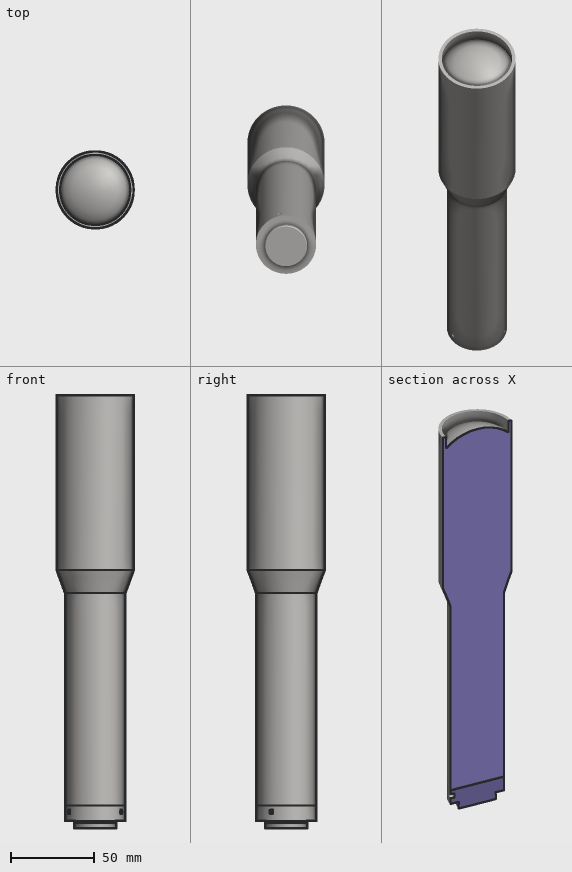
import cadquery as cq
import math

TOTAL_LENGTH = 259.0
COLLAR_BOTTOM = 4.7
SEAM_HEIGHT = 14.0
TAPER_BOTTOM = 140.5
TAPER_TOP = 154.3

HEAD_DIAMETER = 46.0
BODY_DIAMETER = 36.0
LENS_DIAMETER = 42.0
LENS_SAG = 7.8

STUB_DIAMETER = 25.5
RELIEF_DIAMETER = 24.5
RELIEF_HEIGHT = 1.3
STUB_CHAMFER = 0.5

SCREW_DIAMETER = 2.5
SCREW_DEPTH = 2.5
SCREW_HEIGHT = 10.0
SCREW_COUNT = 3
FIRST_SCREW_ANGLE = 90.0


def make_barrel():
    """Stepped barrel with a domed front lens set inside its rim."""
    head_radius = HEAD_DIAMETER / 2
    body_radius = BODY_DIAMETER / 2
    lens_radius = LENS_DIAMETER / 2
    lens_edge = TOTAL_LENGTH - LENS_SAG
    sphere_radius = (lens_radius**2 + LENS_SAG**2) / (2 * LENS_SAG)
    half_angle = math.asin(lens_radius / sphere_radius) / 2
    dome_middle = (
        sphere_radius * math.sin(half_angle),
        TOTAL_LENGTH - sphere_radius * (1 - math.cos(half_angle)),
    )
    return (
        cq.Workplane("XZ")
        .moveTo(0, SEAM_HEIGHT)
        .lineTo(body_radius, SEAM_HEIGHT)
        .lineTo(body_radius, TAPER_BOTTOM)
        .lineTo(head_radius, TAPER_TOP)
        .lineTo(head_radius, TOTAL_LENGTH)
        .lineTo(lens_radius, TOTAL_LENGTH)
        .lineTo(lens_radius, lens_edge)
        .threePointArc(dome_middle, (0, TOTAL_LENGTH))
        .close()
        .revolve(360, (0, 0), (0, 1))
    )


def make_screw_hole(angle):
    """Cutter for one radial blind hole, starting at the collar surface."""
    direction = cq.Vector(math.cos(math.radians(angle)), math.sin(math.radians(angle)), 0)
    start = direction * (BODY_DIAMETER / 2) + cq.Vector(0, 0, SCREW_HEIGHT)
    return cq.Solid.makeCylinder(
        SCREW_DIAMETER / 2, 2 * SCREW_DEPTH, start - direction * SCREW_DEPTH, direction
    )


def make_mount():
    """Rear collar with a relieved mounting stub and radial set-screw holes."""
    stub = (
        cq.Workplane("XY")
        .circle(STUB_DIAMETER / 2)
        .extrude(COLLAR_BOTTOM - RELIEF_HEIGHT)
        .faces("<Z")
        .chamfer(STUB_CHAMFER)
    )
    relief = (
        cq.Workplane("XY", origin=(0, 0, COLLAR_BOTTOM - RELIEF_HEIGHT))
        .circle(RELIEF_DIAMETER / 2)
        .extrude(RELIEF_HEIGHT)
    )
    mount = (
        cq.Workplane("XY", origin=(0, 0, COLLAR_BOTTOM))
        .circle(BODY_DIAMETER / 2)
        .extrude(SEAM_HEIGHT - COLLAR_BOTTOM)
        .union(relief)
        .union(stub)
    )
    for index in range(SCREW_COUNT):
        mount = mount.cut(make_screw_hole(FIRST_SCREW_ANGLE + index * 360 / SCREW_COUNT))
    return mount


barrel = make_barrel()
mount = make_mount()

result = cq.Compound.makeCompound([barrel.val(), mount.val()])